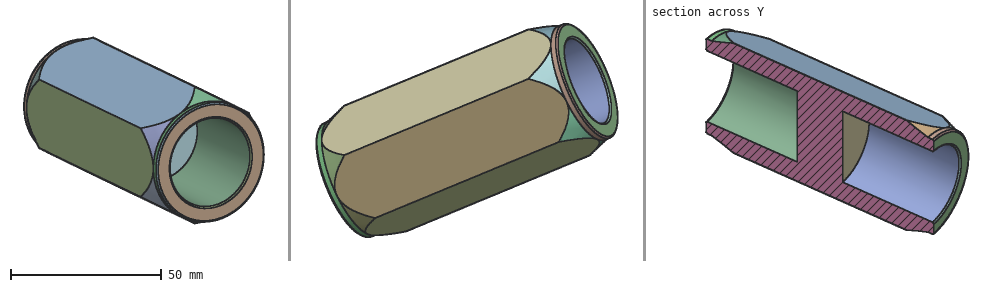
import cadquery as cq
import math

length = 93.0
across_flats = 41.0
collar_length = 2.4
edge_chamfer = 0.6
cone_angle = 20.0
bore_diameter = 30.3
bore_depth = 37.2

half_length = length / 2
collar_radius = across_flats / 2
corner_radius = collar_radius / math.cos(math.radians(30))
bore_radius = bore_diameter / 2

envelope_radius = corner_radius + 0.9
cone_length = (envelope_radius - collar_radius) / math.tan(math.radians(cone_angle))


def hexagonal_bar():
    """Hexagonal bar with corners pointing along +Z and -Z."""
    corners = []
    for index in range(6):
        angle = math.radians(90 + 60 * index)
        corners.append((corner_radius * math.cos(angle), corner_radius * math.sin(angle)))
    return cq.Workplane("YZ").polyline(corners).close().extrude(half_length, both=True)


def turned_envelope():
    """Solid of revolution that rounds the collars and tapers the corners."""
    collar_end = half_length - collar_length
    cone_end = collar_end - cone_length
    rim_start = half_length - edge_chamfer
    rim_radius = collar_radius - edge_chamfer
    right_half = [
        (cone_end, envelope_radius),
        (collar_end, collar_radius),
        (rim_start, collar_radius),
        (half_length, rim_radius),
        (half_length, 0),
    ]
    left_half = [(-x, radius) for x, radius in reversed(right_half)]
    profile = cq.Workplane("XY").polyline(left_half + right_half).close()
    return profile.revolve(360, (0, 0, 0), (1, 0, 0))


def left_bore():
    """Blind bore in the -X end with a chamfered mouth."""
    floor = -half_length + bore_depth
    profile = cq.Workplane("XY").polyline([
        (-half_length, 0),
        (-half_length, bore_radius + edge_chamfer),
        (-half_length + edge_chamfer, bore_radius),
        (floor, bore_radius),
        (floor, 0),
    ]).close()
    return profile.revolve(360, (0, 0, 0), (1, 0, 0))


body = hexagonal_bar().intersect(turned_envelope())
bore = left_bore()
result = body.cut(bore).cut(bore.mirror("YZ"))